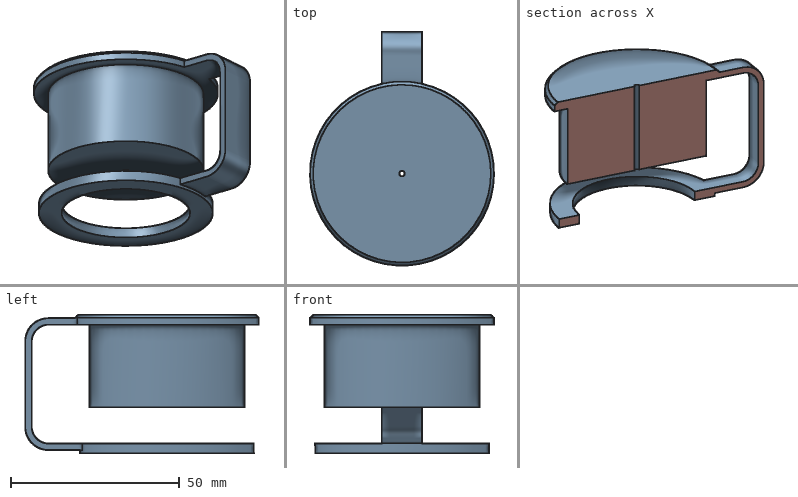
import cadquery as cq

length_y = 69.25
height = 41.05

flange_diameter = 54.5
flange_thickness = 3.0
flange_chamfer = 1.0
plug_diameter = 46.0
plug_bottom = 13.65
vent_diameter = 1.5

ring_diameter = 51.5
ring_hole_diameter = 38.0
ring_thickness = 3.0

strap_width = 12.0
strap_thickness = 2.0
strap_outer_radius = 7.0
strap_inner_radius = strap_outer_radius - strap_thickness

flange_bottom = height - flange_thickness
strap_back = length_y - flange_diameter / 2
strap_front = (ring_diameter + ring_hole_diameter) / 4
strap_top = flange_bottom + strap_thickness
strap_bottom = ring_thickness - strap_thickness


def disc(diameter, bottom, top):
    return cq.Workplane("XY").workplane(offset=bottom).circle(diameter / 2).extrude(top - bottom)


def strap_profile(back, bottom, top, corner_radius):
    """Side slab, rounded at its two back corners and extruded across the strap width."""
    return (
        cq.Workplane("YZ")
        .moveTo(strap_front, bottom)
        .lineTo(back - corner_radius, bottom)
        .radiusArc((back, bottom + corner_radius), -corner_radius)
        .lineTo(back, top - corner_radius)
        .radiusArc((back - corner_radius, top), -corner_radius)
        .lineTo(strap_front, top)
        .close()
        .extrude(strap_width / 2, both=True)
    )


def make_cap():
    flange = disc(flange_diameter, flange_bottom, height).faces(">Z").chamfer(flange_chamfer)
    return flange.union(disc(plug_diameter, plug_bottom, flange_bottom))


def make_ring():
    return disc(ring_diameter, 0, ring_thickness).cut(disc(ring_hole_diameter, 0, ring_thickness))


def make_strap():
    outer = strap_profile(strap_back, strap_bottom, strap_top, strap_outer_radius)
    inner = strap_profile(
        strap_back - strap_thickness,
        strap_bottom + strap_thickness,
        strap_top - strap_thickness,
        strap_inner_radius,
    )
    return outer.cut(inner)


vent = disc(vent_diameter, plug_bottom, height)
result = make_cap().union(make_ring()).union(make_strap()).cut(vent)